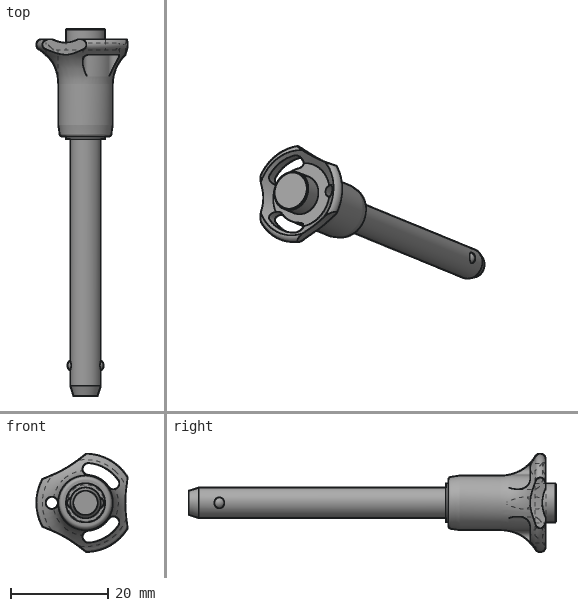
import math

import cadquery as cq


overall_length = 75.69
head_length = 22.75
shank_length = overall_length - head_length
shank_radius = 6.35 / 2
tip_radius = 2.5
tip_length = 2.1

ball_radius = 1.2
ball_reach = 3.75
ball_to_tip = 6.3

collar_radius = 4.05
collar_length = 0.5
barrel_radius = 5.65
barrel_end_radius = 5.4
barrel_end_fillet = 0.7
taper_start = 2.85
bell_start = 11.3

bell_radius = 8.45
button_height = 2.15
rim_back = head_length - button_height
rim_thickness = 2.25
rim_front = rim_back - rim_thickness
rim_radius = 10.16
rim_round = 1.2
dish_depth = 2.25
dish_angle = 45

button_radius = 4.05
button_chamfer = 0.25

scallop_radius = 29.0
scallop_floor = 8.23
scallop_angles = (0, 120, 240)
slot_radius = 7.0
slot_width = 2.4
slot_angles = (60, -60)
slot_sweep = 50
hole_offset = 6.94
hole_diameter = 2.46
hole_angle = 180


def polar(radius, angle):
    """Point (x, z) at a radius and an angle from +X about the pin axis."""
    return (radius * math.cos(math.radians(angle)), radius * math.sin(math.radians(angle)))


def across_axis(y):
    """Workplane square to the pin axis at height y; its local axes are X and Z, its normal is -Y."""
    return cq.Workplane("XZ", origin=(0, y, 0))


def revolve_about_axis(profile):
    """Turn a closed (y, radius) profile about the pin axis."""
    return profile.close().revolve(360, (0, 0, 0), (1, 0, 0))


def make_shank():
    """Round shank with a tapered tip."""
    profile = cq.Workplane("YZ").polyline([
        (0, 0),
        (0, shank_radius),
        (tip_length - shank_length, shank_radius),
        (-shank_length, tip_radius),
        (-shank_length, 0),
    ])
    return revolve_about_axis(profile)


def make_balls():
    """Both balls, sunk into the shank so that their tops stand proud of it."""
    ball_offset = ball_reach - ball_radius
    centers = [(side * ball_offset, ball_to_tip - shank_length, 0) for side in (-1, 1)]
    return cq.Workplane("XY").pushPoints(centers).sphere(ball_radius)


def make_handle():
    """Collar, barrel and dished bell as one turned body."""
    rim_center_y = rim_back - rim_round
    dish_radius = rim_radius - rim_round
    dish_floor_radius = dish_radius - dish_depth / math.tan(math.radians(dish_angle))

    bell_end_tilt = math.asin((rim_front - bell_start) / bell_radius)

    def bell_point(tilt):
        return (
            bell_start + bell_radius * math.sin(tilt),
            barrel_radius + bell_radius * (1 - math.cos(tilt)),
        )

    fillet_setback = barrel_end_fillet * (1 - math.sqrt(0.5))
    profile = (
        cq.Workplane("YZ")
        .moveTo(0, 0)
        .lineTo(0, collar_radius)
        .lineTo(collar_length, collar_radius)
        .lineTo(collar_length, barrel_end_radius - barrel_end_fillet)
        .threePointArc(
            (collar_length + fillet_setback, barrel_end_radius - fillet_setback),
            (collar_length + barrel_end_fillet, barrel_end_radius),
        )
        .lineTo(taper_start, barrel_radius)
        .lineTo(bell_start, barrel_radius)
        .threePointArc(bell_point(bell_end_tilt / 2), bell_point(bell_end_tilt))
        .threePointArc((rim_center_y, rim_radius), (rim_back, dish_radius))
        .lineTo(rim_back - dish_depth, dish_floor_radius)
        .lineTo(rim_back - dish_depth, 0)
    )
    return revolve_about_axis(profile)


def make_button():
    """Button seated in the dish, with its top edge broken; its stem reaches down to the shank."""
    cylinder = across_axis(head_length).circle(button_radius).extrude(head_length)
    return cylinder.faces(">Y").chamfer(button_chamfer)


def make_scallops():
    """Cutters: cylinders parallel to the pin that hollow the rim between the lobes."""
    centers = [polar(scallop_floor + scallop_radius, angle) for angle in scallop_angles]
    return across_axis(head_length).pushPoints(centers).circle(scallop_radius).extrude(head_length - bell_start)


def make_slot(mid_angle):
    """Cutter for a curved slot about the pin axis with round ends."""
    inner = slot_radius - slot_width / 2
    outer = slot_radius + slot_width / 2
    first = mid_angle - slot_sweep / 2
    last = mid_angle + slot_sweep / 2
    outline = (
        across_axis(head_length)
        .moveTo(*polar(inner, first))
        .threePointArc(polar(inner, mid_angle), polar(inner, last))
        .tangentArcPoint(polar(outer, last), relative=False)
        .threePointArc(polar(outer, mid_angle), polar(outer, first))
        .tangentArcPoint(polar(inner, first), relative=False)
        .close()
    )
    return outline.extrude(head_length)


def make_hole():
    """Cutter for the round hole parallel to the pin axis."""
    center = polar(hole_offset, hole_angle)
    return across_axis(head_length).pushPoints([center]).circle(hole_diameter / 2).extrude(head_length)


handle = make_handle().cut(make_scallops()).cut(make_hole())
for slot_angle in slot_angles:
    handle = handle.cut(make_slot(slot_angle))

result = handle.union(make_button()).union(make_shank()).union(make_balls())